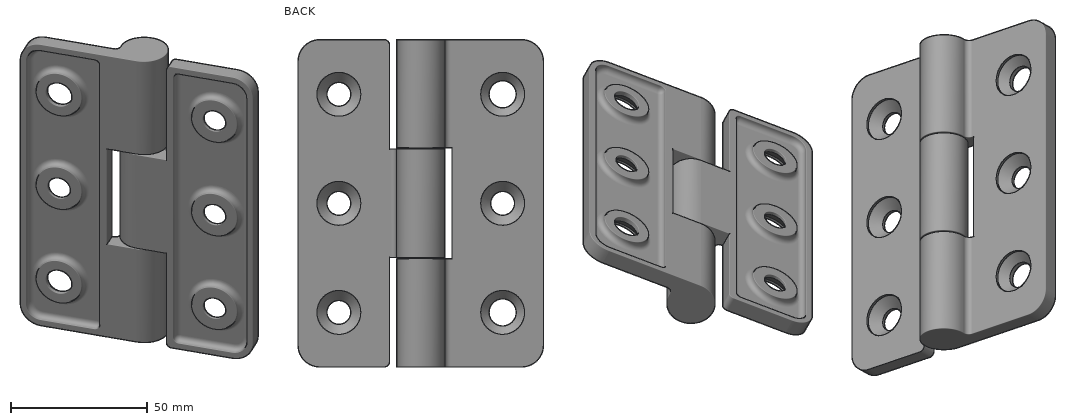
import cadquery as cq
height = 120.0
half_width = 45.0
plate_thickness = 6.0
knuckle_radius = 8.9
front_y = -knuckle_radius
back_y = front_y + plate_thickness
corner_radius = 8.0
small_radius = 2.0
edge_radius = 0.18

knuckle_half_height = 19.9
slot_half_height = 20.3
knuckle_clearance = 2.5
plate_edge_x = knuckle_radius + knuckle_clearance

rim_width = 2.5
pocket_inner_x = 14.3
pocket_outer_x = half_width - rim_width
pocket_half_height = height / 2 - rim_width
pocket_depth = 2.6

boss_x = 30.0
boss_pitch = 40.0
boss_radius = 8.9
hole_radius = 4.3
large_hole_radius = 4.9
recess_radius = 8.0
recess_depth = 1.0

pin_radius = 4.5
pin_half_length = 48.0


def block(x_range, y_range, z_range):
    """Axis-aligned box spanning the given (low, high) ranges."""
    sizes = [high - low for low, high in (x_range, y_range, z_range)]
    lows = (x_range[0], y_range[0], z_range[0])
    return cq.Workplane("XY").box(*sizes, centered=False).translate(lows)


def screw_hole(radius, z):
    """Screw hole through a boss, with a 45 degree countersink and a straight recess at the back."""
    recess_y = back_y - recess_depth
    countersink_depth = recess_radius - radius
    return (
        cq.Workplane("XY")
        .moveTo(0, front_y)
        .lineTo(radius, front_y)
        .lineTo(radius, recess_y - countersink_depth)
        .lineTo(recess_radius, recess_y)
        .lineTo(recess_radius, back_y)
        .lineTo(0, back_y)
        .close()
        .revolve(360, (0, 0, 0), (0, 1, 0))
        .translate((-boss_x, 0, z))
    )


def z_cylinder(radius, half_length):
    """Cylinder on the hinge axis, centred on the origin."""
    return cq.Workplane("XY").circle(radius).extrude(half_length, both=True)


def knuckle(half_height):
    """Barrel joined to a plate on the -X side, with a filleted corner behind the plate."""
    fillet_x = -knuckle_radius - small_radius
    web = (
        cq.Workplane("XY")
        .moveTo(0, front_y)
        .lineTo(-plate_edge_x, front_y)
        .lineTo(-plate_edge_x, back_y)
        .lineTo(fillet_x, back_y)
        .radiusArc((-knuckle_radius, back_y + small_radius), -small_radius)
        .lineTo(-knuckle_radius, 0)
        .lineTo(0, 0)
        .close()
        .extrude(half_height, both=True)
    )
    return z_cylinder(knuckle_radius, half_height).union(web)


def pocket():
    """Pocket in the -X plate, with a filleted floor."""
    body = block(
        (-pocket_outer_x, -pocket_inner_x),
        (front_y, front_y + pocket_depth),
        (-pocket_half_height, pocket_half_height),
    )
    body = body.edges("|Y and <X").fillet(corner_radius - rim_width)
    body = body.edges("|Y and >X").fillet(small_radius)
    return body.faces(">Y").edges().fillet(small_radius)


def boss(z):
    """Screw boss level with the rim, with a fillet around its foot."""
    floor_y = front_y + pocket_depth
    return (
        cq.Workplane("ZY")
        .moveTo(0, front_y)
        .lineTo(boss_radius, front_y)
        .lineTo(boss_radius, floor_y - small_radius)
        .radiusArc((boss_radius + small_radius, floor_y), small_radius)
        .lineTo(boss_radius + small_radius, back_y)
        .lineTo(0, back_y)
        .close()
        .revolve(360, (0, 0, 0), (0, 1, 0))
        .translate((-boss_x, 0, z))
    )


def plate(inner_x, inner_radius, hole_radii):
    """Plate on the -X side with its pocket, bosses and screw holes, from bottom to top."""
    body = block((-half_width, inner_x), (front_y, back_y), (-height / 2, height / 2))
    body = body.edges("|Y and <X").fillet(corner_radius)
    if inner_radius:
        body = body.edges("|Y and >X").fillet(inner_radius)
    body = body.cut(pocket())
    for index, radius in enumerate(hole_radii):
        z = (index - 1) * boss_pitch
        body = body.union(boss(z))
        body = body.cut(screw_hole(radius, z))
    return body


def bored(leaf):
    """Leaf with the bore for the pin."""
    return leaf.cut(z_cylinder(pin_radius, pin_half_length))


def round_front_edges(leaf):
    """Round the edges of the front faces, except where the front runs smoothly into the barrel."""
    edges = [
        edge
        for edge in leaf.faces("<Y").edges().vals()
        if abs(edge.Center().x) > edge_radius or edge.BoundingBox().xlen > edge_radius
    ]
    return leaf.newObject(edges).fillet(edge_radius)


def make_slotted_leaf():
    """Leaf with the two end knuckles and a slot between them."""
    hole_radii = (large_hole_radius, hole_radius, large_hole_radius)
    slot = block(
        (-plate_edge_x, knuckle_radius),
        (front_y, knuckle_radius),
        (-slot_half_height, slot_half_height),
    )
    leaf = plate(-plate_edge_x, 0, hole_radii).union(knuckle(height / 2)).cut(slot)
    return round_front_edges(bored(leaf))


def make_center_leaf():
    """Leaf with the middle knuckle, on the +X side."""
    hole_radii = (hole_radius, hole_radius, hole_radius)
    leaf = plate(-plate_edge_x, small_radius, hole_radii).union(knuckle(knuckle_half_height))
    return round_front_edges(bored(leaf)).mirror("YZ")


def make_pin():
    """Pin that joins the two leaves."""
    return z_cylinder(pin_radius, pin_half_length)


slotted_leaf = make_slotted_leaf()
center_leaf = make_center_leaf()
pin = make_pin()

result = cq.Compound.makeCompound([slotted_leaf.val(), center_leaf.val(), pin.val()])